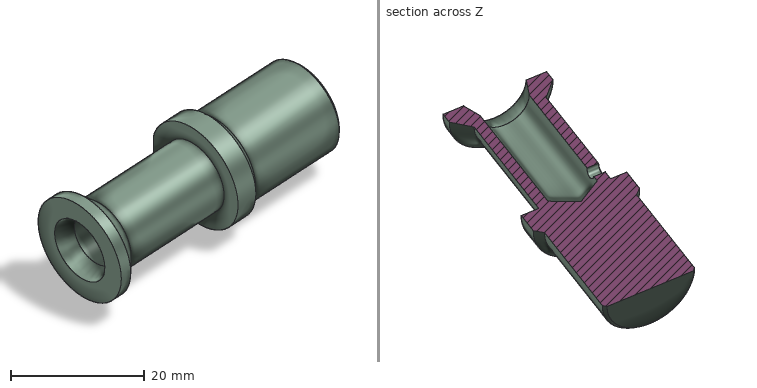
import cadquery as cq
import math

length = 47.0
flange_radius = 9.0
flange_thickness = 1.97
neck_radius = 6.25
flange_cone_end = flange_thickness + flange_radius - neck_radius
collar_radius = 9.25
collar_front = 24.1
collar_chamfer_start = 27.82
collar_chamfer_end = 29.0
body_radius = 8.0
body_chamfer = 0.5

flat_distance = 9.02

bore_radius = 4.25
mouth_radius = 5.4
mouth_depth = 3.0
bore_depth = 23.5
drill_point_angle = 118.0
drill_point_depth = bore_radius / math.tan(math.radians(drill_point_angle / 2))

inspection_radius = 1.0
inspection_from_mouth = 21.5


def revolve_about_y(points):
    """Turn a closed (radius, distance from the open end) outline about the Y axis."""
    turned = cq.Workplane("XY").polyline(points).close().revolve(360, (0, 0), (0, 1))
    return turned.translate((0, -length / 2, 0))


def outer_shape():
    return revolve_about_y([
        (0, 0),
        (flange_radius, 0),
        (flange_radius, flange_thickness),
        (neck_radius, flange_cone_end),
        (neck_radius, collar_front),
        (collar_radius, collar_front),
        (collar_radius, collar_chamfer_start),
        (body_radius, collar_chamfer_end),
        (body_radius, length - body_chamfer),
        (body_radius - body_chamfer, length),
        (0, length),
    ])


def bore():
    return revolve_about_y([
        (0, 0),
        (mouth_radius, 0),
        (bore_radius, mouth_depth),
        (bore_radius, bore_depth),
        (0, bore_depth + drill_point_depth),
    ])


def collar_flat():
    """Block that removes everything beyond the flat on the -X side."""
    size = 2 * collar_radius
    block = cq.Workplane("XY").box(size, length, size)
    return block.translate((-flat_distance - size / 2, 0, 0))


def inspection_hole():
    """Cross hole through the -X wall of the neck into the bore."""
    y = inspection_from_mouth - length / 2
    return cq.Workplane("YZ").center(y, 0).circle(inspection_radius).extrude(-neck_radius)


result = outer_shape().cut(collar_flat()).cut(bore()).cut(inspection_hole())